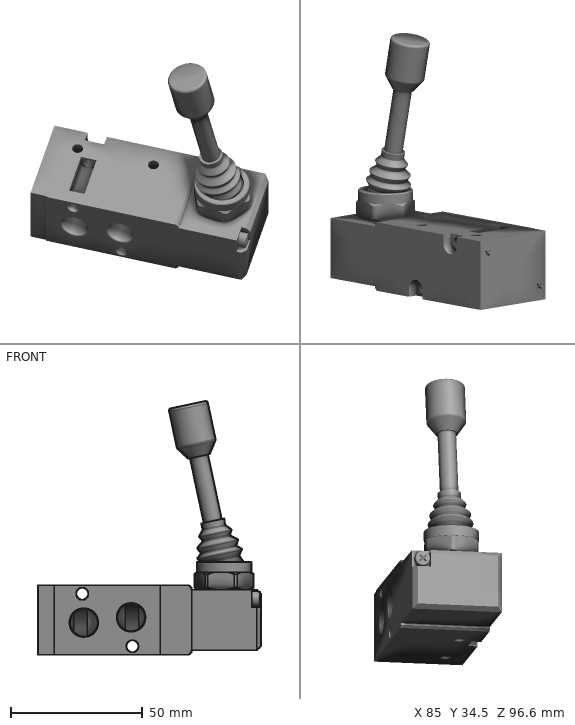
import cadquery as cq
import math

total_length = 85.0
width = 34.5
height = 26.5
mid_y = width / 2
mid_z = height / 2

cap_length = 6.3
cap_setback = 0.4
body_end = 46.5
adapter_end = 58.5
adapter_chamfer = 1.0
housing_inset = 1.65
housing_top = height - housing_inset
housing_chamfer = 1.7

port_diameter = 10.5
port_chamfer = 0.25
port_depth = 14.5
port_offset_z = 1.0
port_x = (17.5, 35.5)
port_z = (mid_z - port_offset_z, mid_z + port_offset_z)
groove_width = 5.1
groove_x = (16.25, 35.9)
groove_diameter = 14.4

mount_diameter = 4.5
mount_edge = 3.25
mount_x = (16.9, 36.0)
counterbore_width = 7.6
counterbore_depth = 3.8

vertical_diameter = 4.2
vertical_x = (11.5, 41.5)
vertical_y = 26.0

slot_width = 6.1
slot_start_y = 5.3
slot_end_y = 22.4
slot_depth = 5.6
slot_fillet = 1.7

screw_diameter = 5.7
screw_offset_y = 13.5
screw_offset_z = 8.0
cap_head_height = 3.0
housing_head_height = 3.1
housing_head_fillet = 0.5
cross_length = 3.4
cross_width = 0.8
cross_depth = 1.2
notch_size = 6.8
notch_depth = 3.5

lever_x = 70.9
nut_flats = 20.15
nut_diameter = 22.6
nut_height = 6.65
nut_face_diameter = 20.6
nut_chamfer_height = 0.8
nut_turn = -6.7
collar_diameter = 21.0
collar_height = 3.95
collar_chamfer = 0.3
collar_bore_diameter = 16.8
collar_bore_depth = 2.0
collar_top = housing_top + nut_height + collar_height

lever_tilt = 12.0
pivot_z = 30.5
overall_height = 96.63
rod_radius = 3.55
knob_radius = 7.6
knob_neck_radius = 4.2
knob_start = 46.0
knob_cone_end = 50.9
knob_fillet = 1.0
knob_cone_fillet = 1.2
bellows_top = 20.9
bellows_collar_radius = 4.55
bellows_creases = [
    (18.4, 4.4),
    (16.2, 6.4),
    (14.2, 5.3),
    (12.0, 8.05),
    (9.8, 6.9),
    (8.15, 8.8),
    (5.8, 7.1),
    (3.3, 8.3),
]
bellows_bottom = (1.0, 7.2)
crease_fillet = 0.3


def block(x_range, y_range, z_range):
    """Box between two X, two Y and two Z positions."""
    size = [high - low for low, high in (x_range, y_range, z_range)]
    corner = (x_range[0], y_range[0], z_range[0])
    return cq.Workplane("XY").box(*size, centered=False).translate(corner)


def rod_x(x, y, z, diameter, length):
    """Cylinder running in +X from the given centre."""
    return cq.Workplane("YZ", origin=(x, y, z)).circle(diameter / 2).extrude(length)


def rod_y(x, y, z, diameter, length):
    """Cylinder running in +Y from the given centre."""
    return cq.Workplane("XZ", origin=(x, y, z)).circle(diameter / 2).extrude(-length)


def cross_recess(depth):
    """Diagonal cross running in +X from the YZ plane."""
    arm = cq.Workplane("YZ").rect(cross_length, cross_width).extrude(depth)
    x_axis = ((0, 0, 0), (1, 0, 0))
    return arm.rotate(*x_axis, 45).union(arm.rotate(*x_axis, -45))


def make_cap_screw(y, z):
    """Head flush with the outer face of the end cap."""
    head = rod_x(0, 0, 0, screw_diameter, cap_head_height)
    return head.cut(cross_recess(cross_depth)).translate((0, y, z))


def make_housing_screw(x, y, z):
    """Head with a rounded rim, seated in the corner notch of the housing."""
    head = rod_x(0, 0, 0, screw_diameter, housing_head_height)
    head = head.faces(">X").edges().fillet(housing_head_fillet)
    recess = cross_recess(cross_depth).translate((housing_head_height - cross_depth, 0, 0))
    return head.cut(recess).translate((x, y, z))


lower_screw = (mid_y - screw_offset_y, mid_z - screw_offset_z)
upper_screw = (mid_y + screw_offset_y, mid_z + screw_offset_z)
cap_screws = [make_cap_screw(y, z) for y, z in (lower_screw, upper_screw)]

notch_floor_x = total_length - notch_depth
housing_screw = make_housing_screw(notch_floor_x, lower_screw[0], upper_screw[1])

end_cap = block((0, cap_length), (cap_setback, width), (0, height))
for y, z in (lower_screw, upper_screw):
    end_cap = end_cap.cut(rod_x(0, y, z, screw_diameter, cap_head_height))

valve_body = block((cap_length, body_end), (0, width), (0, height))

for x, z in zip(port_x, port_z):
    port = rod_y(x, 0, z, port_diameter, port_depth)
    mouth = cq.Solid.makeCone(
        port_diameter / 2 + port_chamfer,
        port_diameter / 2,
        port_chamfer,
        pnt=cq.Vector(x, 0, z),
        dir=cq.Vector(0, 1, 0),
    )
    valve_body = valve_body.cut(port).cut(cq.Workplane(mouth))
for x in groove_x:
    groove = rod_x(x - groove_width / 2, mid_y, mid_z, groove_diameter, groove_width)
    valve_body = valve_body.cut(groove)

upper_mount = (mount_x[0], height - mount_edge, height)
lower_mount = (mount_x[1], mount_edge, 0)
for x, z, open_edge in (upper_mount, lower_mount):
    half_width = counterbore_width / 2
    counterbore_y = (width - counterbore_depth, width)
    opening_z = (min(z, open_edge), max(z, open_edge))
    opening = block((x - half_width, x + half_width), counterbore_y, opening_z)
    valve_body = (
        valve_body.cut(rod_y(x, 0, z, mount_diameter, width))
        .cut(rod_y(x, counterbore_y[0], z, counterbore_width, counterbore_depth))
        .cut(opening)
    )

valve_body = valve_body.cut(
    cq.Workplane("XY")
    .pushPoints([(x, vertical_y) for x in vertical_x])
    .circle(vertical_diameter / 2)
    .extrude(height)
)

slot_x = (mount_x[0] - slot_width / 2, mount_x[0] + slot_width / 2)
top_slot = block(slot_x, (slot_start_y, slot_end_y), (height - slot_depth, height))
top_slot = top_slot.faces("<Z").edges("|Y").fillet(slot_fillet)
valve_body = valve_body.cut(top_slot)

adapter = block((body_end, adapter_end), (0, width), (0, height))
adapter = adapter.faces(">X").edges("|Y").chamfer(adapter_chamfer)

lever_housing = block((adapter_end, total_length), (0, width), (housing_inset, housing_top))
lever_housing = lever_housing.faces(">X").edges().chamfer(housing_chamfer)
screw_notch = block(
    (notch_floor_x, total_length),
    (0, notch_size),
    (housing_top - notch_size, housing_top),
)
lever_housing = lever_housing.cut(screw_notch)

nut_corner_diameter = nut_flats / math.cos(math.pi / 6)
hexagon = (
    cq.Workplane("XY")
    .polygon(6, nut_corner_diameter)
    .extrude(nut_height)
    .rotate((0, 0, 0), (0, 0, 1), nut_turn)
)
nut_envelope = (
    cq.Workplane("XZ")
    .polyline([
        (0, 0),
        (nut_face_diameter / 2, 0),
        (nut_diameter / 2, nut_chamfer_height),
        (nut_diameter / 2, nut_height - nut_chamfer_height),
        (nut_face_diameter / 2, nut_height),
        (0, nut_height),
    ])
    .close()
    .revolve(360, (0, 0), (0, 1))
)
nut_collar = (
    cq.Workplane("XY", origin=(0, 0, nut_height))
    .circle(collar_diameter / 2)
    .extrude(collar_height)
    .faces(">Z")
    .chamfer(collar_chamfer)
)
collar_bore = (
    cq.Workplane("XY", origin=(lever_x, mid_y, collar_top - collar_bore_depth))
    .circle(collar_bore_diameter / 2)
    .extrude(collar_bore_depth)
)
nut = hexagon.intersect(nut_envelope).union(nut_collar).translate((lever_x, mid_y, housing_top))
nut = nut.cut(collar_bore)

tilt = math.radians(lever_tilt)
rim_rise = (knob_radius - knob_fillet) * math.sin(tilt) + knob_fillet
knob_top = knob_fillet + (overall_height - pivot_z - rim_rise) / math.cos(tilt)

lever_profile = (
    cq.Workplane("XZ")
    .moveTo(0, knob_top)
    .lineTo(knob_radius - knob_fillet, knob_top)
    .radiusArc((knob_radius, knob_top - knob_fillet), knob_fillet)
    .lineTo(knob_radius, knob_cone_end)
    .lineTo(knob_neck_radius, knob_start)
    .lineTo(rod_radius, knob_start)
    .lineTo(rod_radius, bellows_top)
    .lineTo(bellows_collar_radius, bellows_top)
)
for crease_height, crease_radius in bellows_creases:
    lever_profile = lever_profile.lineTo(crease_radius, crease_height)
bottom_height, bottom_radius = bellows_bottom
lever_profile = lever_profile.lineTo(bottom_radius, bottom_height).lineTo(0, bottom_height).close()
upright_lever = lever_profile.revolve(360, (0, 0), (0, 1))


def rim_at(axis_height):
    """Selector for the circular edges of the upright lever at one height."""
    margin = 0.01
    reach = 2 * knob_radius
    return cq.selectors.BoxSelector(
        (-reach, -reach, axis_height - margin),
        (reach, reach, axis_height + margin),
    )


upright_lever = upright_lever.edges(rim_at(knob_cone_end)).fillet(knob_cone_fillet)
for crease_height, _ in bellows_creases:
    upright_lever = upright_lever.edges(rim_at(crease_height)).fillet(crease_fillet)

lever = (
    upright_lever.rotate((0, 0, 0), (0, 1, 0), -lever_tilt)
    .translate((lever_x, mid_y, pivot_z))
)
below_collar = block((0, total_length), (0, width), (0, collar_top)).cut(collar_bore)
lever = lever.cut(below_collar)

result = cq.Compound.makeCompound([
    end_cap.val(),
    valve_body.val(),
    adapter.val(),
    lever_housing.val(),
    *[screw.val() for screw in cap_screws],
    housing_screw.val(),
    nut.val(),
    lever.val(),
])